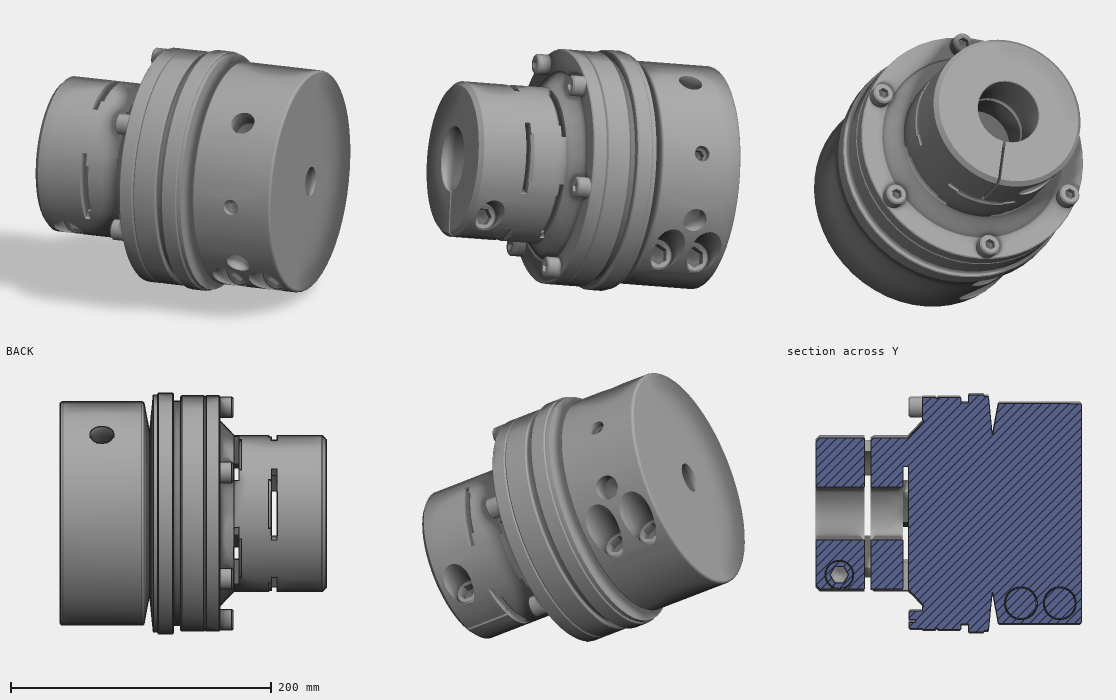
import cadquery as cq
import math


HUB_R = 120.0 / 2
HUB_END_X = 71.0
HUB_CHAMFER = 3.3
HUB_BORE_R = 24.7
BORE_CHAMFER = 0.6
HUB_TWIST = 7.5
SLIT_WIDTH = 2.2

SLOTS_PER_ROW = 4
SLOT_HALF_ANGLE = 27.3
RELIEF_HALF_ANGLE = 18.4
RELIEF_SIZE = 2.2
FRONT_SLOT_X = 37.8
FRONT_SLOT_WIDTH = 4.5
FRONT_CAVITY_R = 51.0
REAR_SLOT_WIDTH = 3.7
REAR_SLOT_X = HUB_END_X - REAR_SLOT_WIDTH
REAR_CAVITY_R = 38.7

FLANGE_X = 81.8
FLANGE_R = 181.0 / 2
FLANGE_RECESS_R = 73.8
CONE_END_R = 72.5
PARTING_X = 93.3
RING_END_X = 111.9
EDGE_CHAMFER = 0.8
PARTING_CHAMFER = 1.0
NECK_R = 86.3
DISC_X = 117.4
DISC_R = 185.0 / 2
DISC_STEP_X = 129.7
DISC_STEP_R = 91.2
DISC_END_X = 133.0
GAP_X = 135.8
GAP_R = 62.2

LARGE_HUB_X = 140.3
LARGE_HUB_R = 85.9
LARGE_HUB_FILLET = 2.0
LENGTH = 204.5
THROUGH_BORE_R = 11.5

RADIAL_HOLE_X = 172.4
WRENCH_HOLE_R = 9.2
WRENCH_HOLE_DEPTH = 17.4
WRENCH_HOLE_ANGLES = (-35, 45, 135)
SET_SCREW_R = 12.0 / 2
SET_SCREW_DEPTH = 6.1
SET_SCREW_SOCKET_D = 8.5
SET_SCREW_RIM = 1.0

FLANGE_SCREWS = 6
FLANGE_SCREW_CIRCLE_R = 164.6 / 2
FLANGE_SCREW_ANGLE = -7.5
FLANGE_SCREW_R = 8.0
FLANGE_SCREW_HEIGHT = 10.2
FLANGE_SCREW_SOCKET_D = 8.5
FLANGE_SCREW_CHAMFER = 1.2

SMALL_CLAMP_X = 18.2
SMALL_CLAMP_DROP = 44.8
SMALL_CLAMP_FACE = 24.5
SMALL_CLAMP_R = 21.0 / 2
SMALL_CLAMP_POCKET_R = 10.8
SMALL_CLAMP_SOCKET_D = 14.0
SMALL_CLAMP_SHANK_R = 7.0
LARGE_CLAMP_X = (157.7, 187.5)
LARGE_CLAMP_DROP = 69.0
LARGE_CLAMP_FACE = 28.6
LARGE_CLAMP_R = 24.0 / 2
LARGE_CLAMP_POCKET_R = 12.5
LARGE_CLAMP_SOCKET_D = 16.5
CLAMP_CHAMFER = 1.5
CLAMP_HEAD_HEIGHT = 14.3
SOCKET_TURN = 30

AXIS_START = (0, 0, 0)
AXIS_END = (1, 0, 0)
ABOVE_SURFACE = 2.0
DRILL_TIP_SLOPE = math.tan(math.radians(31.0))


def about_x(shape, angle):
    """Turn a shape about the coupling axis; a positive angle carries +Z toward -Y."""
    return shape.rotate(AXIS_START, AXIS_END, angle)


def revolve_about_x(points, angle=360):
    """Revolve (x, radius) points about X, starting at +Z and turning toward -Y."""
    return cq.Workplane("XZ").polyline(points).close().revolve(angle, (0, 0), (1, 0))


def sector(points, half_angle):
    """Revolved sector centred on +Z."""
    return about_x(revolve_about_x(points, 2 * half_angle), -half_angle)


def socket(diameter, depth, turn=0):
    """Hexagon socket going down from z = 0, with a conical bottom; diameter is across corners."""
    flats_r = diameter / 2 * math.cos(math.pi / 6)
    hexagon = cq.Workplane("XY").polygon(6, diameter).extrude(-depth)
    tip = (
        cq.Workplane("XZ")
        .polyline([(0, -depth), (flats_r, -depth), (0, -depth - flats_r / 2)])
        .close()
        .revolve(360, (0, 0), (0, 1))
    )
    return hexagon.union(tip).rotate((0, 0, 0), (0, 0, 1), turn)


def screw_head(radius, height, chamfer, socket_d, turn=0):
    """Cap screw head with its face at z = 0 and its body below."""
    head = cq.Workplane("XY").circle(radius).extrude(-height).faces(">Z").chamfer(chamfer)
    return head.cut(socket(socket_d, height / 2, turn))


def body():
    """Revolved outline of the coupling, without bores."""
    recess_depth = FLANGE_RECESS_R - CONE_END_R
    outline = [
        (0, 0),
        (0, HUB_R - HUB_CHAMFER),
        (HUB_CHAMFER, HUB_R),
        (HUB_END_X, HUB_R),
        (FLANGE_X + recess_depth, CONE_END_R),
        (FLANGE_X, FLANGE_RECESS_R),
        (FLANGE_X, FLANGE_R - EDGE_CHAMFER),
        (FLANGE_X + EDGE_CHAMFER, FLANGE_R),
        (PARTING_X - PARTING_CHAMFER, FLANGE_R),
        (PARTING_X, FLANGE_R - PARTING_CHAMFER),
        (PARTING_X + PARTING_CHAMFER, FLANGE_R),
        (RING_END_X - EDGE_CHAMFER, FLANGE_R),
        (RING_END_X, FLANGE_R - EDGE_CHAMFER),
        (RING_END_X, NECK_R),
        (DISC_X, NECK_R),
        (DISC_X, DISC_R - EDGE_CHAMFER),
        (DISC_X + EDGE_CHAMFER, DISC_R),
        (DISC_STEP_X - EDGE_CHAMFER, DISC_R),
        (DISC_STEP_X, DISC_R - EDGE_CHAMFER),
        (DISC_STEP_X, DISC_STEP_R),
        (DISC_END_X, DISC_STEP_R),
        (GAP_X, GAP_R),
        (LARGE_HUB_X, LARGE_HUB_R),
        (LENGTH, LARGE_HUB_R),
        (LENGTH, 0),
    ]
    solid = revolve_about_x(outline)
    reach = 2 * LARGE_HUB_R
    hub_rims = cq.selectors.BoxSelector(
        (GAP_X + ABOVE_SURFACE, -reach, -reach),
        (LENGTH + ABOVE_SURFACE, reach, reach),
        boundingbox=True,
    )
    return solid.edges(hub_rims).edges("%CIRCLE").fillet(LARGE_HUB_FILLET)


def bores():
    """Shaft bore of the clamping hub and the smaller bore running through the rest."""
    return revolve_about_x([
        (0, 0),
        (0, HUB_BORE_R + BORE_CHAMFER),
        (BORE_CHAMFER, HUB_BORE_R),
        (HUB_END_X, HUB_BORE_R),
        (HUB_END_X, THROUGH_BORE_R),
        (LENGTH, THROUGH_BORE_R),
        (LENGTH, 0),
    ])


def slot_row(x_start, width, cavity_r, first_angle, relief_edge_x, relief_direction):
    """Cavity with one row of ring slots, each with a bevelled relief along one edge."""
    x_end = x_start + width
    outer_r = HUB_R + RELIEF_SIZE
    cutter = revolve_about_x([(x_start, 0), (x_start, cavity_r), (x_end, cavity_r), (x_end, 0)])
    slot = sector(
        [(x_start, 0), (x_start, outer_r), (x_end, outer_r), (x_end, 0)],
        SLOT_HALF_ANGLE,
    )
    relief = sector(
        [
            (relief_edge_x, HUB_R - RELIEF_SIZE),
            (relief_edge_x, outer_r),
            (relief_edge_x + 2 * RELIEF_SIZE * relief_direction, outer_r),
        ],
        RELIEF_HALF_ANGLE,
    )
    for index in range(SLOTS_PER_ROW):
        angle = first_angle + 360 / SLOTS_PER_ROW * index
        cutter = cutter.union(about_x(slot, angle)).union(about_x(relief, angle))
    return cutter


def slit():
    """Radial slit from the bore through the bottom of the clamping hub."""
    slit_length = FRONT_SLOT_X + FRONT_SLOT_WIDTH / 2
    slit_height = HUB_R + ABOVE_SURFACE
    block = cq.Workplane("XY").box(slit_length, SLIT_WIDTH, slit_height, centered=(False, True, False))
    return about_x(block, 180 + HUB_TWIST)


def radial_cutter(shape, angle):
    """Carry a cutter that goes down from z = 0 to the large hub's surface at an angle from -Y."""
    return about_x(shape.translate((RADIAL_HOLE_X, 0, LARGE_HUB_R)), 90 - angle)


def wrench_hole():
    """Blind drilled hole with a conical drill tip."""
    tip_z = -WRENCH_HOLE_DEPTH - WRENCH_HOLE_R * DRILL_TIP_SLOPE
    return (
        cq.Workplane("XZ")
        .polyline([
            (0, ABOVE_SURFACE),
            (WRENCH_HOLE_R, ABOVE_SURFACE),
            (WRENCH_HOLE_R, -WRENCH_HOLE_DEPTH),
            (0, tip_z),
        ])
        .close()
        .revolve(360, (0, 0), (0, 1))
    )


def set_screw_hole():
    """Hole with a sunk set screw: a conical rim leads to the hexagon socket."""
    socket_r = SET_SCREW_SOCKET_D / 2
    rim_z = -SET_SCREW_DEPTH - SET_SCREW_RIM
    hole = (
        cq.Workplane("XZ")
        .polyline([
            (0, ABOVE_SURFACE),
            (SET_SCREW_R, ABOVE_SURFACE),
            (SET_SCREW_R, -SET_SCREW_DEPTH),
            (socket_r, rim_z),
            (0, rim_z),
        ])
        .close()
        .revolve(360, (0, 0), (0, 1))
    )
    return hole.union(socket(SET_SCREW_SOCKET_D, SET_SCREW_DEPTH).translate((0, 0, rim_z)))


def add_flange_screws(solid):
    """Seat the socket screws around the flange, heads toward -X."""
    head = screw_head(FLANGE_SCREW_R, FLANGE_SCREW_HEIGHT, FLANGE_SCREW_CHAMFER, FLANGE_SCREW_SOCKET_D)
    head = head.rotate((0, 0, 0), (0, 1, 0), -90)
    head = head.translate((FLANGE_X - FLANGE_SCREW_HEIGHT, 0, FLANGE_SCREW_CIRCLE_R))
    for index in range(FLANGE_SCREWS):
        solid = solid.union(about_x(head, FLANGE_SCREW_ANGLE + 360 / FLANGE_SCREWS * index))
    return solid


def add_clamp_screw(solid, x, drop, face, head_r, pocket_r, socket_d, twist=0, turn=0):
    """Cut a pocket along Y below the bore and seat a screw head in it."""
    pocket = cq.Workplane("XY").workplane(offset=-CLAMP_HEAD_HEIGHT)
    pocket = pocket.circle(pocket_r).extrude(CLAMP_HEAD_HEIGHT + LARGE_HUB_R)
    head = screw_head(head_r, CLAMP_HEAD_HEIGHT, CLAMP_CHAMFER, socket_d, turn)

    def place(shape):
        turned = shape.rotate((0, 0, 0), (1, 0, 0), 90)
        return about_x(turned.translate((x, -face, -drop)), twist)

    return solid.cut(place(pocket)).union(place(head))


def small_clamp_shank():
    """Screw shank bridging the slit."""
    shank = cq.Workplane("XZ").center(SMALL_CLAMP_X, -SMALL_CLAMP_DROP)
    shank = shank.circle(SMALL_CLAMP_SHANK_R).extrude(SLIT_WIDTH, both=True)
    return about_x(shank, HUB_TWIST)


result = body().cut(bores())
result = result.cut(slot_row(
    FRONT_SLOT_X, FRONT_SLOT_WIDTH, FRONT_CAVITY_R, HUB_TWIST, FRONT_SLOT_X + FRONT_SLOT_WIDTH, 1
))
result = result.cut(slot_row(
    REAR_SLOT_X, REAR_SLOT_WIDTH, REAR_CAVITY_R, HUB_TWIST + 180 / SLOTS_PER_ROW, REAR_SLOT_X, -1
))
result = result.cut(slit()).union(small_clamp_shank())
for hole_angle in WRENCH_HOLE_ANGLES:
    result = result.cut(radial_cutter(wrench_hole(), hole_angle))
result = result.cut(radial_cutter(set_screw_hole(), 0))
result = add_flange_screws(result)
result = add_clamp_screw(
    result,
    SMALL_CLAMP_X,
    SMALL_CLAMP_DROP,
    SMALL_CLAMP_FACE,
    SMALL_CLAMP_R,
    SMALL_CLAMP_POCKET_R,
    SMALL_CLAMP_SOCKET_D,
    twist=HUB_TWIST,
)
for clamp_x in LARGE_CLAMP_X:
    result = add_clamp_screw(
        result,
        clamp_x,
        LARGE_CLAMP_DROP,
        LARGE_CLAMP_FACE,
        LARGE_CLAMP_R,
        LARGE_CLAMP_POCKET_R,
        LARGE_CLAMP_SOCKET_D,
        turn=SOCKET_TURN,
    )